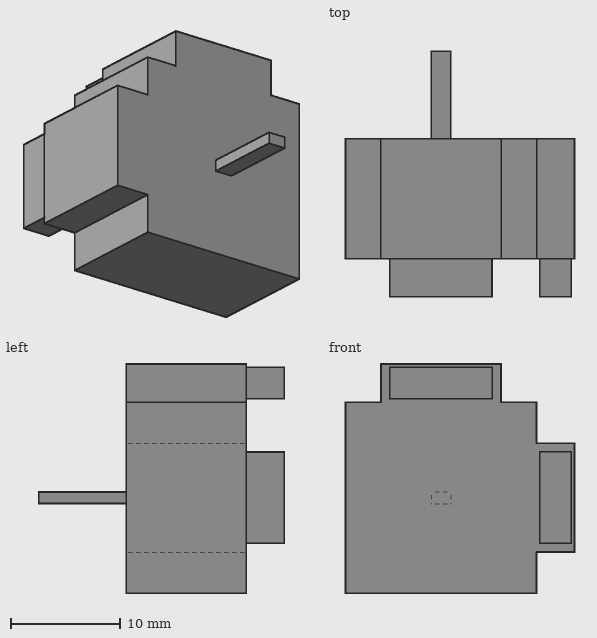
import cadquery as cq

body_side = 17.5
body_depth = 11.0
body_center = body_side / 2

overall_side = 21.0
shoulder_height = overall_side - body_side
top_shoulder_length = 11.0
side_shoulder_length = 10.0
shoulder_center = body_side + shoulder_height / 2

overall_depth = 22.5
blade_length = 8.0
blade_width = 1.82
blade_thickness = 1.08
lug_depth = overall_depth - body_depth - blade_length
lug_thickness = 2.9
top_lug_length = 9.38
side_lug_length = 8.37


def block(width, height, center_x, center_z, y_start, depth):
    """Box centred in X and Z, running along +Y from y_start."""
    return cq.Workplane("XY").box(width, depth, height).translate(
        (center_x, y_start + depth / 2, center_z)
    )


body = block(body_side, body_side, body_center, body_center, 0, body_depth)

top_shoulder = block(
    top_shoulder_length, shoulder_height, body_center, shoulder_center, 0, body_depth
)
side_shoulder = block(
    shoulder_height, side_shoulder_length, shoulder_center, body_center, 0, body_depth
)

top_lug = block(
    top_lug_length, lug_thickness, body_center, shoulder_center, -lug_depth, lug_depth
)
side_lug = block(
    lug_thickness, side_lug_length, shoulder_center, body_center, -lug_depth, lug_depth
)

blade = block(
    blade_width, blade_thickness, body_center, body_center, body_depth, blade_length
)

result = body
for feature in (top_shoulder, side_shoulder, top_lug, side_lug, blade):
    result = result.union(feature)